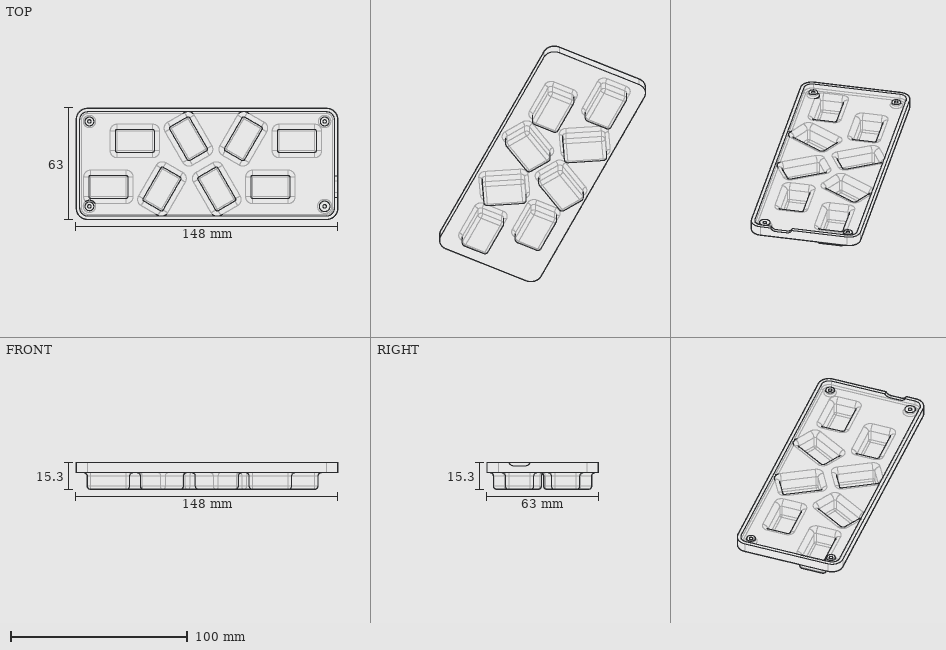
import cadquery as cq
length = 148.0
width = 63.0
total_height = 15.32
corner_radius = 6.5
rim_height = 5.82
rim_thickness = 2.0
plate_thickness = 2.0
floor_fillet = 1.0
inner_length = length - 2 * rim_thickness
inner_width = width - 2 * rim_thickness
inner_corner_radius = corner_radius - rim_thickness

underside_z = 0.0
floor_z = underside_z + plate_thickness
rim_top_z = underside_z + rim_height
bottom_z = rim_top_z - total_height

cavity_length = 22.0
cavity_width = 13.0
cavity_edge_radius = 1.0
mouth_radius = 3.0
end_wall_thickness = 1.0
side_wall_thickness = 1.5
pocket_floor_thickness = 1.0
cavity_bottom_z = bottom_z + pocket_floor_thickness
shell_length = cavity_length + 2 * end_wall_thickness
shell_width = cavity_width + 2 * side_wall_thickness
shell_edge_radius = 2.0
root_radius = 2.0
frame_margin = 1.0

straight_offset_x = 45.8
straight_y = 13.0
tilted_offset_x = 15.5
tilted_y = 14.2
tilt_angle = 60.0
upper_row_x = 5.0
lower_row_x = -10.0

boss_x = 66.5
boss_y = 24.0
boss_diameter = 5.0
large_boss_diameter = 6.0
boss_height = 2.0
boss_fillet = 1.0
hole_diameter = 2.0

notch_y = -13.0
notch_depth = 2.0
notch_flat_width = 6.4
notch_corner_radius = 3.0


def rounded_block(size_x, size_y, radius, z_low, z_high):
    """Upright block with rounded vertical edges, centred on the Z axis."""
    block = cq.Workplane("XY").workplane(offset=z_low).rect(size_x, size_y).extrude(z_high - z_low)
    return block.edges("|Z").fillet(radius)


def flare(size_x, size_y, edge_radius, radius, z_wide):
    """Block whose sides curve outward by radius as they rise to z_wide.

    It is what remains of a plain block once a frame with a rounded hole is taken away.
    """
    z_low = z_wide - radius - frame_margin
    side = 2 * (radius + frame_margin)
    block = cq.Workplane("XY").box(size_x + side, size_y + side, z_wide - z_low)
    block = block.translate((0, 0, (z_low + z_wide) / 2))
    frame = block.cut(rounded_block(size_x, size_y, edge_radius, z_low, z_wide))
    reach = frame_margin / 2
    hole_rim = cq.selectors.BoxSelector(
        (-size_x / 2 - reach, -size_y / 2 - reach, z_wide - reach),
        (size_x / 2 + reach, size_y / 2 + reach, z_wide + reach),
    )
    return block.cut(frame.edges(hole_rim).fillet(radius))


def make_cavity():
    """Pocket hollow, opening straight up through the floor fillet above its mouth."""
    block = rounded_block(cavity_length, cavity_width, cavity_edge_radius, cavity_bottom_z, floor_z)
    block = block.faces("<Z").edges().fillet(cavity_edge_radius)
    mouth = flare(cavity_length, cavity_width, cavity_edge_radius, mouth_radius, floor_z)
    opening = rounded_block(
        cavity_length + 2 * mouth_radius,
        cavity_width + 2 * mouth_radius,
        cavity_edge_radius + mouth_radius,
        floor_z,
        floor_z + floor_fillet,
    )
    return block.union(mouth).union(opening)


def make_shell():
    """Outer body of a pocket, flaring into the underside of the plate."""
    block = rounded_block(shell_length, shell_width, shell_edge_radius, bottom_z, floor_z)
    block = block.faces("<Z").edges().fillet(shell_edge_radius)
    return block.union(flare(shell_length, shell_width, shell_edge_radius, root_radius, underside_z))


def pocket_places():
    """Centre X, centre Y and turn angle of every pocket."""
    places = []
    for row_x, side in ((upper_row_x, 1), (lower_row_x, -1)):
        for end in (-1, 1):
            places.append((row_x + end * straight_offset_x, side * straight_y, 0))
            places.append((row_x + end * tilted_offset_x, side * tilted_y, end * side * tilt_angle))
    return places


def place(shape, spot):
    x, y, angle = spot
    return shape.rotate((0, 0, 0), (0, 0, 1), angle).translate((x, y, 0))


def make_tray():
    """Plate with a raised rim and a filleted floor edge."""
    tray = rounded_block(length, width, corner_radius, underside_z, rim_top_z)
    recess = rounded_block(inner_length, inner_width, inner_corner_radius, floor_z, rim_top_z)
    recess = recess.faces("<Z").edges().fillet(floor_fillet)
    return tray.cut(recess)


def make_boss(diameter):
    """Round boss with a concave fillet at its foot."""
    radius = diameter / 2
    top = floor_z + boss_height
    profile = (
        cq.Workplane("XZ")
        .moveTo(0, underside_z)
        .lineTo(radius + boss_fillet, underside_z)
        .lineTo(radius + boss_fillet, floor_z)
        .radiusArc((radius, floor_z + boss_fillet), boss_fillet)
        .lineTo(radius, top)
        .lineTo(0, top)
        .close()
    )
    return profile.revolve(360, (0, 0, 0), (0, 1, 0))


def make_notch():
    """Slot with fully rounded ends whose lower part cuts into the rim."""
    slot_height = 2 * notch_corner_radius
    slot_length = notch_flat_width + slot_height
    slot_z = rim_top_z - notch_depth + notch_corner_radius
    slot = cq.Workplane("YZ").workplane(offset=inner_length / 2)
    return slot.center(notch_y, slot_z).slot2D(slot_length, slot_height).extrude(rim_thickness)


result = make_tray()

shell = make_shell()
for spot in pocket_places():
    result = result.union(place(shell, spot))
cavity = make_cavity()
interior = rounded_block(inner_length, inner_width, inner_corner_radius, bottom_z, rim_top_z)
for spot in pocket_places():
    result = result.cut(place(cavity, spot).intersect(interior))

for end in (-1, 1):
    for side in (-1, 1):
        diameter = large_boss_diameter if (end, side) == (1, -1) else boss_diameter
        result = result.union(make_boss(diameter).translate((end * boss_x, side * boss_y, 0)))

holes = cq.Workplane("XY").workplane(offset=floor_z).rect(2 * boss_x, 2 * boss_y, forConstruction=True)
holes = holes.vertices().circle(hole_diameter / 2).extrude(boss_height)
result = result.cut(holes).cut(make_notch())